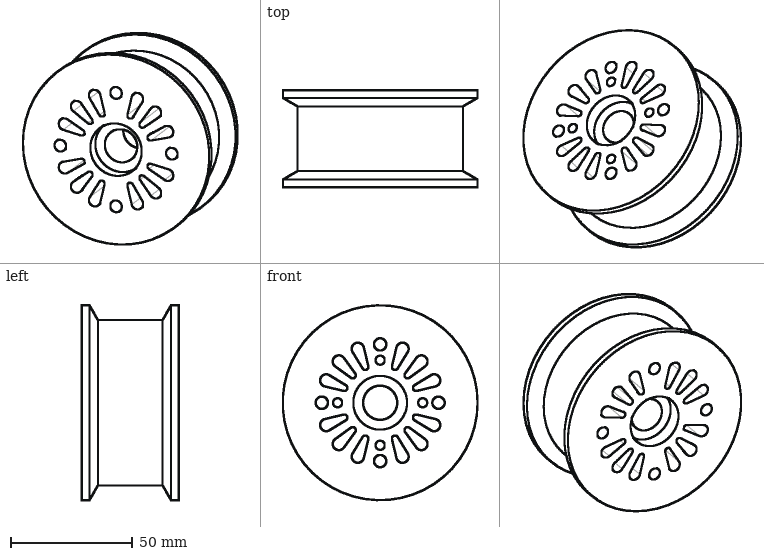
import cadquery as cq
import math

width = 40.0
flange_radius = 40.2
core_radius = 68.4 / 2
rim_width = 3.2
flank_angle = 30.0
flank_width = (flange_radius - core_radius) * math.tan(math.radians(flank_angle))

bore_diameter = 14.0
seat_diameter = 22.2
seat_depth = 7.0

ring_radius = 24.0
hole_diameter = 5.0
slot_inner_radius = 16.0
slot_tip_diameter = 2.5
slot_tip_radius = slot_tip_diameter / 2
slot_end_radius = hole_diameter / 2
ring_positions = 16
hole_interval = 4

screw_count = 4
screw_circle_radius = 17.5
screw_diameter = 3.8
screw_depth = 10.0
drill_point_angle = 118.0

front = -width / 2
back = width / 2


def make_body():
    """Revolve the half section of the spool about the Y axis."""
    core_front = front + rim_width + flank_width
    core_back = back - rim_width - flank_width
    half_section = cq.Workplane("XY").polyline([
        (0, front),
        (flange_radius, front),
        (flange_radius, front + rim_width),
        (core_radius, core_front),
        (core_radius, core_back),
        (flange_radius, back - rim_width),
        (flange_radius, back),
        (0, back),
    ]).close()
    return half_section.revolve(360, (0, 0, 0), (0, 1, 0))


def cylinder_along_y(diameter, start, length):
    plane = cq.Workplane("XZ", origin=(0, start, 0))
    return plane.circle(diameter / 2).extrude(-length)


def around_axis(tool, angle):
    return tool.rotate((0, 0, 0), (0, 1, 0), angle)


def make_slot():
    """Tapered through slot along +X: two arcs joined by their common tangents."""
    taper_sine = (slot_end_radius - slot_tip_radius) / (ring_radius - slot_inner_radius)
    taper_cosine = math.sqrt(1 - taper_sine**2)

    def tangent_point(center, radius, side):
        return (center - radius * taper_sine, side * radius * taper_cosine)

    return (
        cq.Workplane("XZ", origin=(0, front, 0))
        .moveTo(*tangent_point(slot_inner_radius, slot_tip_radius, -1))
        .lineTo(*tangent_point(ring_radius, slot_end_radius, -1))
        .threePointArc(
            (ring_radius + slot_end_radius, 0),
            tangent_point(ring_radius, slot_end_radius, 1),
        )
        .lineTo(*tangent_point(slot_inner_radius, slot_tip_radius, 1))
        .threePointArc(
            (slot_inner_radius - slot_tip_radius, 0),
            tangent_point(slot_inner_radius, slot_tip_radius, -1),
        )
        .close()
        .extrude(-width)
    )


def make_screw_hole():
    """Blind hole on the +X side, ending in a conical drill point."""
    radius = screw_diameter / 2
    point_depth = radius / math.tan(math.radians(drill_point_angle / 2))
    half_section = cq.Workplane("XY", origin=(screw_circle_radius, front, 0)).polyline([
        (0, 0),
        (radius, 0),
        (radius, screw_depth),
        (0, screw_depth + point_depth),
    ]).close()
    return half_section.revolve(360, (0, 0, 0), (0, 1, 0))


result = make_body()

result = result.cut(cylinder_along_y(bore_diameter, front, width))
for seat_start in (front, back - seat_depth):
    result = result.cut(cylinder_along_y(seat_diameter, seat_start, seat_depth))

round_hole = cylinder_along_y(hole_diameter, front, width).translate((ring_radius, 0, 0))
slot = make_slot()
for position in range(ring_positions):
    cutter = round_hole if position % hole_interval == 0 else slot
    result = result.cut(around_axis(cutter, position * 360 / ring_positions))

screw_hole = make_screw_hole()
for position in range(screw_count):
    result = result.cut(around_axis(screw_hole, position * 360 / screw_count))